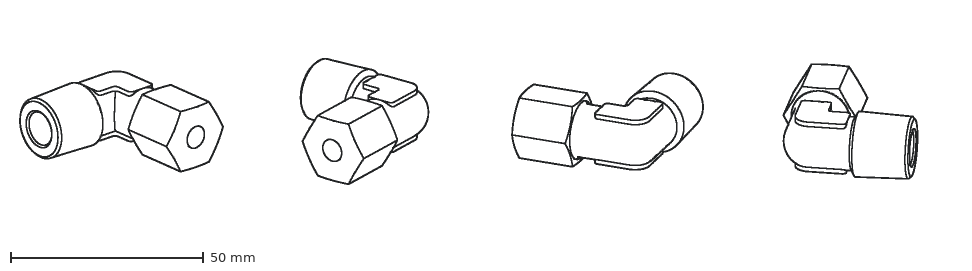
import cadquery as cq
import math

leg_radius = 7.0

leg_end = 27.0
collar_start = 11.45
collar_end = 12.4
collar_radius = 8.6
thread_taper = 1 / 32
end_chamfer_length = 0.67
end_face_radius = 7.5

nut_start = 15.2
nut_end = 31.0
nut_corner_radius = 9.8
nut_face_radius = 8.47
nut_chamfer_length = 0.4
neck_fillet_start = 14.75
neck_fillet_radius = 0.5
neck_cone_angle = math.radians(45)
neck_gap_radius = 7.72

passage_radius = 6.0 / 2
bore_radius = 9.0 / 2
bore_mouth_radius = 10.0 / 2

pad_half_width = 4.0
pad_reach = 9.98
pad_corner_radius = 1.0


def turned_y(points):
    """Solid of revolution about the Y axis from (radius, y) points."""
    return cq.Workplane("XY").polyline(points).close().revolve(360, (0, 0, 0), (0, 1, 0))


def turned_x(points):
    """Solid of revolution about the X axis from (x, radius) points."""
    return cq.Workplane("XY").polyline(points).close().revolve(360, (0, 0, 0), (1, 0, 0))


def elbow_body():
    leg_x = cq.Workplane("YZ").circle(leg_radius).extrude(nut_start)
    leg_y = cq.Workplane("XZ").circle(leg_radius).extrude(collar_end)
    return cq.Workplane("XY").sphere(leg_radius).union(leg_x).union(leg_y)


def threaded_end():
    taper_end = leg_end - end_chamfer_length
    taper_end_radius = collar_radius - (taper_end - collar_end) * thread_taper
    return turned_y([
        (0, -collar_start),
        (leg_radius, -collar_start),
        (collar_radius, -collar_end),
        (taper_end_radius, -taper_end),
        (end_face_radius, -leg_end),
        (0, -leg_end),
    ])


def nut():
    hexagon = (
        cq.Workplane("YZ", origin=(nut_start, 0, 0))
        .polygon(6, 2 * nut_corner_radius)
        .extrude(nut_end - nut_start)
    )
    chamfer_envelope = turned_x([
        (nut_start, 0),
        (nut_start, nut_face_radius),
        (nut_start + nut_chamfer_length, nut_corner_radius),
        (nut_end - nut_chamfer_length, nut_corner_radius),
        (nut_end, nut_face_radius),
        (nut_end, 0),
    ])
    return hexagon.intersect(chamfer_envelope)


def nut_neck_gap():
    """Ring recess in the nut face, bounded inside by the fillet and cone of the leg."""
    def fillet_point(angle):
        x = neck_fillet_start + neck_fillet_radius * math.sin(angle)
        radius = leg_radius + neck_fillet_radius * (1 - math.cos(angle))
        return (x, radius)

    cone_start = fillet_point(neck_cone_angle)
    cone_end_x = cone_start[0] + (neck_gap_radius - cone_start[1]) / math.tan(neck_cone_angle)
    return (
        cq.Workplane("XY")
        .moveTo(neck_fillet_start, leg_radius)
        .threePointArc(fillet_point(neck_cone_angle / 2), cone_start)
        .lineTo(cone_end_x, neck_gap_radius)
        .lineTo(neck_fillet_start, neck_gap_radius)
        .close()
        .revolve(360, (0, 0, 0), (1, 0, 0))
    )


def neck_blank():
    """Plain collar from which the fillet and cone are cut."""
    length = nut_start - neck_fillet_start
    return (
        cq.Workplane("YZ", origin=(neck_fillet_start, 0, 0))
        .circle(neck_gap_radius)
        .extrude(length)
    )


def side_pads():
    w = pad_half_width
    outer_arc_middle = w * math.sqrt(0.5)
    return (
        cq.Workplane("XY", origin=(0, 0, -leg_radius))
        .moveTo(0, w)
        .lineTo(pad_reach, w)
        .lineTo(pad_reach, -w)
        .lineTo(w, -w)
        .lineTo(w, -pad_reach)
        .lineTo(-w, -pad_reach)
        .lineTo(-w, 0)
        .threePointArc((-outer_arc_middle, outer_arc_middle), (0, w))
        .close()
        .extrude(2 * leg_radius)
        .edges("|Z")
        .edges(cq.selectors.BoxSelector((w / 2, -2 * w, -w), (2 * pad_reach, 2 * w, w))
               + cq.selectors.BoxSelector((-2 * w, -2 * pad_reach, -w), (2 * w, -w / 2, w)))
        .fillet(pad_corner_radius)
    )


def passages():
    nut_passage = cq.Workplane("YZ").circle(passage_radius).extrude(nut_end)
    round_end = cq.Workplane("XY").sphere(passage_radius)
    mouth_depth = bore_mouth_radius - bore_radius
    thread_bore = turned_y([
        (0, 0),
        (bore_radius, 0),
        (bore_radius, mouth_depth - leg_end),
        (bore_mouth_radius, -leg_end),
        (0, -leg_end),
    ])
    return nut_passage.union(round_end).union(thread_bore)


result = (
    elbow_body()
    .union(threaded_end())
    .union(nut())
    .union(neck_blank())
    .cut(nut_neck_gap())
    .union(side_pads())
    .cut(passages())
)